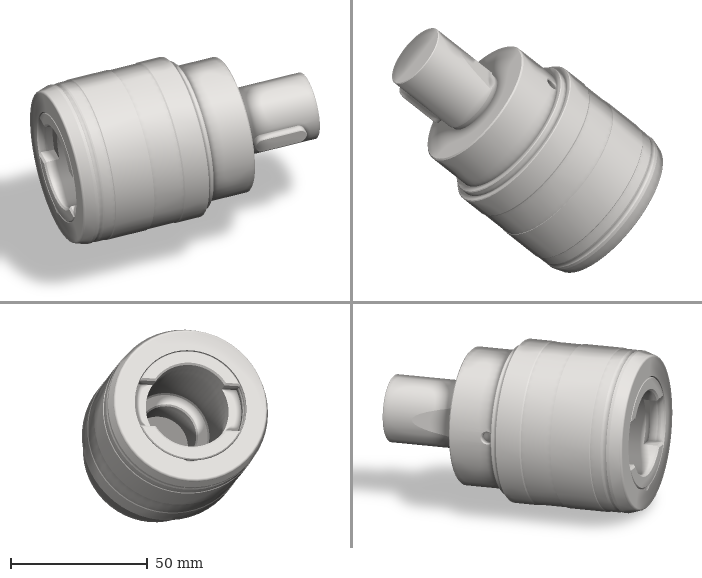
import cadquery as cq
import math


overall_length = 98.0
shank_front = 70.0
flange_back = 68.0
flange_front = 43.1
socket_depth = 39.2
core_depth = 53.9
head_back = 3.4
head_taper_front = 2.8

shank_diameter = 25.0
shank_radius = shank_diameter / 2
neck_radius = 12.1
flange_radius = 25.5
tube_radius = 20.3
head_radius = 20.6
socket_radius = 15.5
core_radius = 10.8

shank_chamfer = 0.3
flange_chamfer = 0.5
head_chamfer = 0.4
socket_chamfer = 0.7
core_chamfer = 0.6

slot_width = 17.1
slot_depth = 5.9
slot_chamfer = 0.8

flat_deep_end = 71.0
flat_runout = 69.1
flat_depth = 1.4
flat_angle = 5.0

dimple_place = 53.1
dimple_radius = 2.1
dimple_depth = 2.0
dimple_chamfer = 0.5
dimple_dome_radius = 5.9

key_length = 20.2
key_width = 6.0
key_front = 71.8
key_top = 15.0
key_bottom = 9.0
key_chamfer = 0.3

sleeve_diameter = 60.3
sleeve_radius = sleeve_diameter / 2
relief_radius = 29.9
collar_radius = 27.9
collar_back = 51.0
sleeve_back = 48.4
rear_band_front = 39.0
rear_band_bevel = 0.5
front_band_back = 26.95
front_band_front = 12.1
sleeve_edge = 0.3

groove_back = 7.7
groove_bevel_front = 7.2
groove_front = 5.6
groove_bevel_radius = 29.7
groove_radius = 29.5
nose_back = 4.4
nose_radius = 28.7
nose_round = 0.8
nose_front_radius = 27.8

mouth_radius = 20.9
mouth_depth = 0.8
mouth_taper_back = 1.8

notch_radius = 3.7
notch_bottom = 21.9

cut_margin = 1.0


def cylinder(radius, front, back):
    """Solid cylinder on the Y axis between two places."""
    return cq.Workplane("XZ", origin=(0, front, 0)).circle(radius).extrude(front - back)


def turned(outline):
    """Solid made by turning an outline, X as radius, about the Y axis."""
    return outline.close().revolve(360, (0, 0, 0), (0, 1, 0))


def cone(front_radius, back_radius, front, back):
    """Solid cone frustum on the Y axis between two places."""
    outline = [(0, front), (front_radius, front), (back_radius, back), (0, back)]
    return turned(cq.Workplane("XY").polyline(outline))


def turned_body():
    outline = [
        (0, 0),
        (head_radius - head_chamfer, 0),
        (head_radius, head_chamfer),
        (head_radius, head_taper_front),
        (tube_radius, head_back),
        (tube_radius, flange_front),
        (flange_radius, flange_front),
        (flange_radius, flange_back - flange_chamfer),
        (flange_radius - flange_chamfer, flange_back),
        (neck_radius, flange_back),
        (neck_radius, shank_front),
        (shank_radius, shank_front),
        (shank_radius, overall_length - shank_chamfer),
        (shank_radius - shank_chamfer, overall_length),
        (0, overall_length),
    ]
    return turned(cq.Workplane("XY").polyline(outline))


def socket():
    mouth = cone(socket_radius + socket_chamfer, socket_radius, 0, socket_chamfer)
    bore = cylinder(socket_radius, 0, socket_depth - core_chamfer)
    bore_end = cone(socket_radius, socket_radius - core_chamfer, socket_depth - core_chamfer, socket_depth)
    core_mouth = cone(core_radius + core_chamfer, core_radius, socket_depth, socket_depth + core_chamfer)
    core = cylinder(core_radius, socket_depth, core_depth)
    return mouth.union(bore).union(bore_end).union(core_mouth).union(core)


def drive_slot():
    half = slot_width / 2
    outline = [
        (0, half + slot_chamfer),
        (slot_chamfer, half),
        (slot_depth, half),
        (slot_depth, -half),
        (slot_chamfer, -half),
        (0, -half - slot_chamfer),
    ]
    return cq.Workplane("YZ").polyline(outline).close().extrude(head_radius + cut_margin, both=True)


def clamping_flat():
    deep_x = flat_depth - shank_radius
    outer_x = -shank_radius - cut_margin
    slope = math.tan(math.radians(flat_angle))
    shallow_end = flat_deep_end + (deep_x - outer_x) / slope
    return (
        cq.Workplane("XY")
        .moveTo(outer_x, shallow_end)
        .lineTo(deep_x, flat_deep_end)
        .tangentArcPoint((-neck_radius, flat_runout), relative=False)
        .lineTo(outer_x, flat_runout)
        .close()
        .extrude(shank_radius, both=True)
    )


def dimple():
    face = cq.Workplane("YZ", origin=(-flange_radius, dimple_place, 0))
    hole = face.circle(dimple_radius).extrude(2 * dimple_depth)
    dome_centre = dimple_depth + dimple_dome_radius - flange_radius
    dome = (
        cq.Workplane("XZ", origin=(dome_centre, dimple_place, 0))
        .circle(dimple_dome_radius)
        .extrude(dimple_radius + cut_margin, both=True)
    )
    rim = (
        face.circle(dimple_radius + dimple_chamfer)
        .workplane(offset=dimple_chamfer)
        .circle(dimple_radius)
        .loft()
    )
    return hole.cut(dome).union(rim)


def key_blank():
    """Round-ended key before its edges are broken; also the shape of its seat."""
    return (
        cq.Workplane("YZ", origin=(key_bottom, key_front + key_length / 2, 0))
        .slot2D(key_length, key_width)
        .extrude(key_top - key_bottom)
    )


def make_body():
    body = turned_body().cut(socket()).cut(drive_slot())
    return body.cut(clamping_flat()).cut(dimple()).cut(key_blank())


def make_key():
    return key_blank().faces(">X").chamfer(key_chamfer)


def turned_sleeve():
    quarter_middle = math.sqrt(0.5)
    nose_arc_middle = (
        nose_front_radius + quarter_middle * (nose_radius - nose_front_radius),
        nose_round * (1 - quarter_middle),
    )
    outline = (
        cq.Workplane("XY")
        .moveTo(mouth_radius, 0)
        .lineTo(nose_front_radius, 0)
        .threePointArc(nose_arc_middle, (nose_radius, nose_round))
        .lineTo(relief_radius, nose_back)
        .lineTo(relief_radius, groove_front)
        .threePointArc(
            (groove_radius, (groove_front + groove_bevel_front) / 2),
            (groove_bevel_radius, groove_bevel_front),
        )
        .lineTo(relief_radius, groove_back)
        .lineTo(relief_radius, front_band_front - sleeve_edge)
        .lineTo(sleeve_radius, front_band_front)
        .lineTo(sleeve_radius, front_band_back)
        .lineTo(relief_radius, front_band_back)
        .lineTo(relief_radius, rear_band_front - rear_band_bevel)
        .lineTo(sleeve_radius, rear_band_front)
        .lineTo(sleeve_radius, sleeve_back - sleeve_edge)
        .lineTo(sleeve_radius - sleeve_edge, sleeve_back)
        .lineTo(collar_radius, sleeve_back)
        .lineTo(collar_radius, collar_back - sleeve_edge)
        .lineTo(collar_radius - sleeve_edge, collar_back)
        .lineTo(flange_radius, collar_back)
        .lineTo(flange_radius, flange_front)
        .lineTo(tube_radius, flange_front)
        .lineTo(tube_radius, head_back)
        .lineTo(head_radius, head_taper_front)
        .lineTo(head_radius, mouth_taper_back)
        .lineTo(mouth_radius, mouth_depth)
    )
    return turned(outline)


def notch():
    centre = cq.Vector(0, 0, notch_radius - notch_bottom)
    return cq.Workplane(cq.Solid.makeCone(notch_radius, 0, notch_radius, centre, cq.Vector(0, 1, 0)))


def make_sleeve():
    return turned_sleeve().cut(notch())


body = make_body()
key = make_key()
sleeve = make_sleeve()

result = cq.Compound.makeCompound([body.solids().val(), key.solids().val(), sleeve.solids().val()])